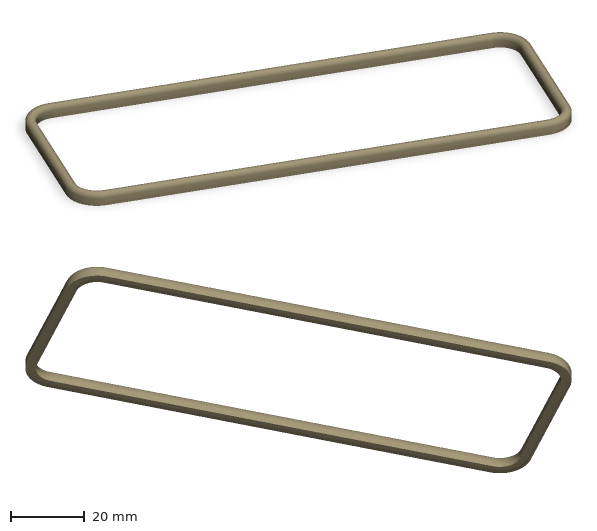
import cadquery as cq
import math

length = 143.6
width = 52.5
height = 3.7

band = 2.9
crown_radius = band / 2
side_height = height - crown_radius

outer_corner_radius = 8.8
path_radius = outer_corner_radius - band / 2
path_x = (width - band) / 2
path_y = (length - band) / 2
straight_x = path_x - path_radius
straight_y = path_y - path_radius


def corner_middle(sign_x, sign_y):
    """Point halfway round a corner of the centreline."""
    reach = path_radius * math.sqrt(0.5)
    return (sign_x * (straight_x + reach), sign_y * (straight_y + reach))


centreline = (
    cq.Workplane("XY")
    .moveTo(0, -path_y)
    .lineTo(straight_x, -path_y)
    .threePointArc(corner_middle(1, -1), (path_x, -straight_y))
    .lineTo(path_x, straight_y)
    .threePointArc(corner_middle(1, 1), (straight_x, path_y))
    .lineTo(-straight_x, path_y)
    .threePointArc(corner_middle(-1, 1), (-path_x, straight_y))
    .lineTo(-path_x, -straight_y)
    .threePointArc(corner_middle(-1, -1), (-straight_x, -path_y))
    .close()
)

outer_y = -length / 2
inner_y = outer_y + band
profile = (
    cq.Workplane("YZ")
    .moveTo(outer_y, 0)
    .lineTo(inner_y, 0)
    .lineTo(inner_y, side_height)
    .threePointArc((-path_y, height), (outer_y, side_height))
    .close()
)

result = profile.sweep(centreline)